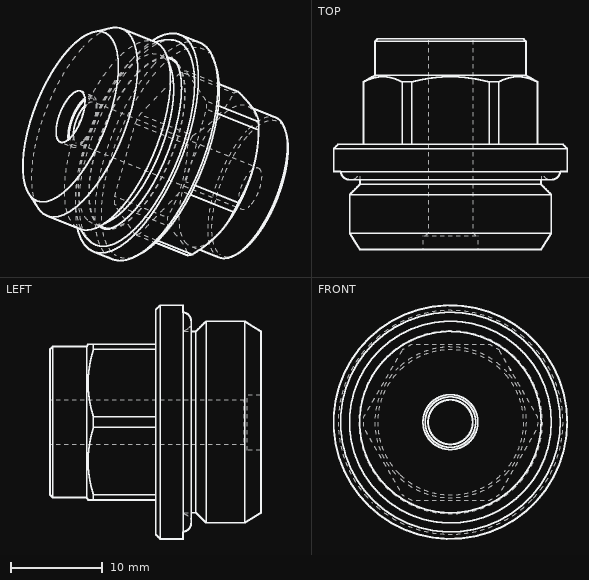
import cadquery as cq
import math


plug_diameter = 22.0
neck_diameter = 19.8
plug_step = (plug_diameter - neck_diameter) / 2
front_chamfer_length = 1.78
plug_end = 6.0
neck_start = plug_end + plug_step

flange_diameter = 25.5
flange_front = 8.5
flange_rear = 11.5
flange_chamfer = 0.5

ring_center_radius = 11.0
ring_cord_radius = 1.0
ring_front = 7.6
ring_center = ring_front + ring_cord_radius

hex_sides = 6
hex_across_flats = 17.0
hex_corner_diameter = 19.0
hex_rear = 19.0
hex_lead_angle = 30.0

boss_diameter = 16.5
boss_end = 23.0
boss_chamfer = 0.3

bore_diameter = 4.85
counterbore_diameter = 6.0
counterbore_depth = 1.53
seat_diameter = 5.5
seat_length = (seat_diameter - bore_diameter) / 2


def revolve_profile(points):
    """Turn a closed outline of (radius, station) points about the Y axis."""
    return cq.Workplane("XY").polyline(points).close().revolve(360, (0, 0, 0), (0, 1, 0))


def make_plug_and_flange():
    plug_radius = plug_diameter / 2
    neck_radius = neck_diameter / 2
    flange_radius = flange_diameter / 2
    return revolve_profile([
        (0, 0),
        (plug_radius - plug_step, 0),
        (plug_radius, front_chamfer_length),
        (plug_radius, plug_end),
        (neck_radius, neck_start),
        (neck_radius, flange_front),
        (flange_radius, flange_front),
        (flange_radius, flange_rear - flange_chamfer),
        (flange_radius - flange_chamfer, flange_rear),
        (0, flange_rear),
    ])


def make_sealing_ring():
    return (
        cq.Workplane("XY")
        .center(ring_center_radius, ring_center)
        .circle(ring_cord_radius)
        .revolve(360, (-ring_center_radius, 0, 0), (-ring_center_radius, 1, 0))
    )


def make_hexagon():
    """Hexagon with flats facing +Z and -Z, trimmed by a turned envelope."""
    across_corners = hex_across_flats / math.cos(math.pi / hex_sides)
    prism = (
        cq.Workplane("XZ", origin=(0, flange_front, 0))
        .polygon(hex_sides, across_corners)
        .extrude(flange_front - hex_rear)
    )
    corner_radius = hex_corner_diameter / 2
    boss_radius = boss_diameter / 2
    lead_length = (corner_radius - boss_radius) * math.tan(math.radians(hex_lead_angle))
    envelope = revolve_profile([
        (0, flange_front),
        (corner_radius, flange_front),
        (corner_radius, hex_rear - lead_length),
        (boss_radius, hex_rear),
        (0, hex_rear),
    ])
    return prism.intersect(envelope)


def make_boss():
    boss_radius = boss_diameter / 2
    return revolve_profile([
        (0, flange_rear),
        (boss_radius, flange_rear),
        (boss_radius, boss_end - boss_chamfer),
        (boss_radius - boss_chamfer, boss_end),
        (0, boss_end),
    ])


def make_bore():
    return revolve_profile([
        (0, 0),
        (counterbore_diameter / 2, 0),
        (counterbore_diameter / 2, counterbore_depth),
        (seat_diameter / 2, counterbore_depth),
        (bore_diameter / 2, counterbore_depth + seat_length),
        (bore_diameter / 2, boss_end),
        (0, boss_end),
    ])


body = make_plug_and_flange().union(make_sealing_ring()).union(make_hexagon()).union(make_boss())
result = body.cut(make_bore())